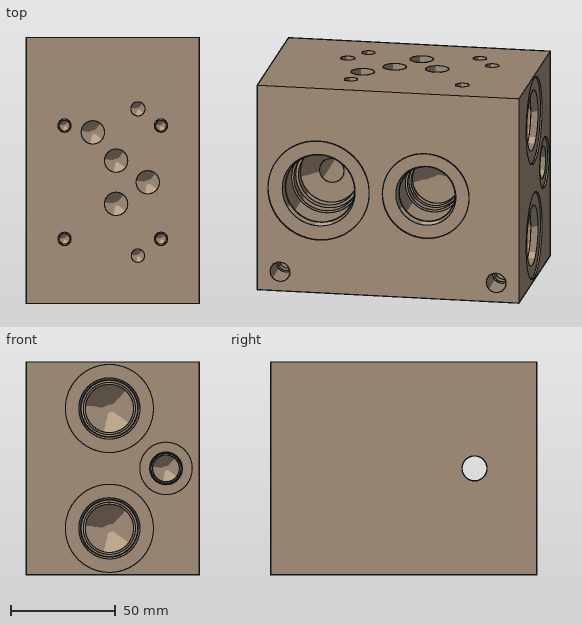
import cadquery as cq
import math

WIDTH = 82.55
DEPTH = 127.0
HEIGHT = 101.6
MID_X = WIDTH / 2
MID_Z = HEIGHT / 2

FRONT = cq.Vector(0, -1, 0)
LEFT = cq.Vector(-1, 0, 0)
TOP = cq.Vector(0, 0, 1)

DRILL_POINT_ANGLE = 118.0

SPOTFACE_DEPTH = 0.79
MEDIUM_PORT = dict(spotface=42.04, seat_mouth=29.2, seat_end=27.43, thread=26.99, minor=24.92, drill=23.01,
                   seat_length=3.3, thread_depth=19.8, minor_depth=24.0, drill_depth=28.0)
SMALL_PORT = dict(spotface=25.02, seat_mouth=15.6, seat_end=14.53, thread=14.28, minor=12.9, drill=12.7,
                  seat_length=2.5, thread_depth=13.0, minor_depth=16.0, drill_depth=19.0)
LARGE_PORT = dict(spotface=49.1, seat_mouth=35.4, seat_end=33.78, thread=33.34, minor=31.3, drill=28.57,
                  seat_length=3.3, thread_depth=19.8, minor_depth=25.0, drill_depth=30.0)

FRONT_PORT_X = 39.67
FRONT_PORT_SPACING_Z = 57.15
SMALL_PORT_X = 66.68
PRESSURE_PORT_Y = 45.3
TANK_PORT_Y = 97.25
TANK_THROUGH_DIAMETER = 11.8

SIDE_THREAD_DIAMETER = 9.53
SIDE_DRILL_DIAMETER = 7.92
SIDE_THREAD_DEPTH = 16.0
SIDE_DRILL_DEPTH = 20.0
SIDE_HOLE_EDGE_Y = 11.11
SIDE_HOLE_Z = 9.53

BOLT_SPACING_X = 46.0
BOLT_SPACING_Y = 54.0
BOLT_PATTERN_Y = 57.85
BOLT_THREAD_DIAMETER = 6.35
BOLT_DRILL_DIAMETER = 5.11
BOLT_THREAD_DEPTH = 12.0
BOLT_DRILL_DEPTH = 15.0

CORNER_BOLT_X = MID_X + BOLT_SPACING_X / 2
CORNER_BOLT_Y = BOLT_PATTERN_Y + BOLT_SPACING_Y / 2
PASSAGE_DIAMETER = 11.11
PASSAGE_DEPTH = 3.2
PASSAGE_OFFSETS = [(32.5, 3.2), (21.4, 16.7), (6.3, 27.0), (21.4, 37.3)]
PILOT_DEPTH = 2.0
REAR_PILOT_DIAMETER = 6.75
FRONT_PILOT_DIAMETER = 6.35
PILOT_OFFSET_X = 11.0
PILOT_OVERHANG_Y = 8.0


def drill_point_length(diameter):
    return diameter / 2 / math.tan(math.radians(DRILL_POINT_ANGLE / 2))


def turned_cutter(half_profile, mouth, outward):
    """Revolve (radius, height) points about the hole axis; height is positive out of the block."""
    radial = cq.Vector(1, 0, 0) if outward.x == 0 else cq.Vector(0, 1, 0)
    plane = cq.Plane(origin=mouth, xDir=radial, normal=radial.cross(outward))
    return cq.Workplane(plane).polyline(half_profile).close().revolve(360, (0, 0, 0), (0, 1, 0))


def drilled_hole(mouth, outward, diameter, depth):
    """Blind hole with a drill point below its full-diameter depth."""
    radius = diameter / 2
    half_profile = [
        (0, 0),
        (radius, 0),
        (radius, -depth),
        (0, -depth - drill_point_length(diameter)),
    ]
    return turned_cutter(half_profile, mouth, outward)


def tapped_hole(mouth, outward, thread, drill, thread_depth, drill_depth):
    """Thread-diameter bore above a smaller drilled hole."""
    drilled = drilled_hole(mouth, outward, drill, drill_depth)
    half_profile = [(0, 0), (thread / 2, 0), (thread / 2, -thread_depth), (0, -thread_depth)]
    return drilled.union(turned_cutter(half_profile, mouth, outward))


def port(mouth, outward, size):
    """Spotface, tapered seal seat, thread bore, minor bore and drilled hole on one axis."""
    seat_bottom = SPOTFACE_DEPTH + size["seat_length"]
    tip_depth = size["drill_depth"] + drill_point_length(size["drill"])
    half_profile = [
        (0, 0),
        (size["spotface"] / 2, 0),
        (size["spotface"] / 2, -SPOTFACE_DEPTH),
        (size["seat_mouth"] / 2, -SPOTFACE_DEPTH),
        (size["seat_end"] / 2, -seat_bottom),
        (size["thread"] / 2, -seat_bottom),
        (size["thread"] / 2, -size["thread_depth"]),
        (size["minor"] / 2, -size["thread_depth"]),
        (size["minor"] / 2, -size["minor_depth"]),
        (size["drill"] / 2, -size["minor_depth"]),
        (size["drill"] / 2, -size["drill_depth"]),
        (0, -tip_depth),
    ]
    return turned_cutter(half_profile, mouth, outward)


def front_port_cutters():
    half_spacing = FRONT_PORT_SPACING_Z / 2
    lower = port((FRONT_PORT_X, 0, MID_Z - half_spacing), FRONT, MEDIUM_PORT)
    upper = port((FRONT_PORT_X, 0, MID_Z + half_spacing), FRONT, MEDIUM_PORT)
    small = port((SMALL_PORT_X, 0, MID_Z), FRONT, SMALL_PORT)
    return [lower, upper, small]


def left_port_cutters():
    pressure = port((0, PRESSURE_PORT_Y, MID_Z), LEFT, MEDIUM_PORT)
    tank = port((0, TANK_PORT_Y, MID_Z), LEFT, LARGE_PORT)
    tank_axis = cq.Workplane("YZ").center(TANK_PORT_Y, MID_Z)
    tank_through = tank_axis.circle(TANK_THROUGH_DIAMETER / 2).extrude(WIDTH)
    return [pressure, tank, tank_through]


def side_hole_cutters():
    return [
        tapped_hole((0, y, SIDE_HOLE_Z), LEFT, SIDE_THREAD_DIAMETER, SIDE_DRILL_DIAMETER,
                    SIDE_THREAD_DEPTH, SIDE_DRILL_DEPTH)
        for y in (SIDE_HOLE_EDGE_Y, DEPTH - SIDE_HOLE_EDGE_Y)
    ]


def bolt_hole_cutters():
    return [
        tapped_hole((x, y, HEIGHT), TOP, BOLT_THREAD_DIAMETER, BOLT_DRILL_DIAMETER,
                    BOLT_THREAD_DEPTH, BOLT_DRILL_DEPTH)
        for x in (CORNER_BOLT_X - BOLT_SPACING_X, CORNER_BOLT_X)
        for y in (CORNER_BOLT_Y - BOLT_SPACING_Y, CORNER_BOLT_Y)
    ]


def passage_cutters():
    return [
        drilled_hole((CORNER_BOLT_X - dx, CORNER_BOLT_Y - dy, HEIGHT), TOP, PASSAGE_DIAMETER, PASSAGE_DEPTH)
        for dx, dy in PASSAGE_OFFSETS
    ]


def pilot_cutters():
    x = CORNER_BOLT_X - PILOT_OFFSET_X
    rear_y = CORNER_BOLT_Y + PILOT_OVERHANG_Y
    front_y = CORNER_BOLT_Y - BOLT_SPACING_Y - PILOT_OVERHANG_Y
    rear = drilled_hole((x, rear_y, HEIGHT), TOP, REAR_PILOT_DIAMETER, PILOT_DEPTH)
    front = drilled_hole((x, front_y, HEIGHT), TOP, FRONT_PILOT_DIAMETER, PILOT_DEPTH)
    return [rear, front]


cutters = (
    front_port_cutters()
    + left_port_cutters()
    + side_hole_cutters()
    + bolt_hole_cutters()
    + passage_cutters()
    + pilot_cutters()
)

result = cq.Workplane("XY").box(WIDTH, DEPTH, HEIGHT, centered=False)
for cutter in cutters:
    result = result.cut(cutter)